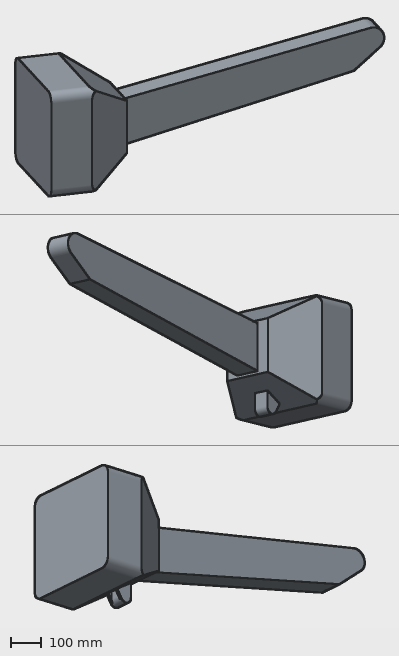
import cadquery as cq
import math

head_width = 380.0
head_height = 362.0
corner_radius = 32.0
block_depth = 139.0
head_depth = 290.0
neck_width = 182.0
neck_height = 179.0

total_length = 1180.0
blade_width = 91.0
blade_root_top = 80.0
blade_root_bottom = -79.0
top_slope = math.radians(10)
bottom_slope = math.radians(11.9)
tip_radius = 40.0
heel_y = 1076.0

hook_width = 55.0
hook_core_width = 39.0
hook_rear_y = 225.0
hook_radius = 21.0
hook_bottom = -204.0
hook_front_slope = math.radians(59)
hook_root_z = -94.0


def polar(center, radius, angle):
    """Point at an angle from +Y towards +Z, as (y, z)."""
    return (center[0] + radius * math.cos(angle), center[1] + radius * math.sin(angle))


def make_head():
    depth_direction = cq.Plane(origin=(0, 0, 0), xDir=(1, 0, 0), normal=(0, 1, 0))
    envelope = (
        cq.Workplane(depth_direction)
        .rect(head_width, head_height)
        .extrude(head_depth)
        .edges("|Y")
        .fillet(corner_radius)
    )
    block = cq.Workplane(depth_direction).rect(head_width, head_height).extrude(block_depth)
    taper = (
        cq.Workplane(depth_direction)
        .workplane(offset=block_depth)
        .rect(head_width, head_height)
        .workplane(offset=head_depth - block_depth)
        .rect(neck_width, neck_height)
        .loft(combine=True, ruled=True)
    )
    return block.union(taper).intersect(envelope)


def make_blade():
    tip_y = total_length - tip_radius
    top_above_tip = blade_root_top + (tip_y - head_depth) * math.tan(top_slope)
    tip = (tip_y, top_above_tip - tip_radius / math.cos(top_slope))
    heel = (heel_y, blade_root_bottom + (heel_y - head_depth) * math.tan(bottom_slope))

    heel_direction = math.atan2(heel[1] - tip[1], heel[0] - tip[0])
    heel_distance = math.hypot(heel[0] - tip[0], heel[1] - tip[1])
    lower_angle = heel_direction + math.acos(tip_radius / heel_distance)
    upper_angle = math.pi / 2 + top_slope
    return (
        cq.Workplane("YZ")
        .moveTo(head_depth, blade_root_bottom)
        .lineTo(*heel)
        .lineTo(*polar(tip, tip_radius, lower_angle))
        .threePointArc(polar(tip, tip_radius, 0), polar(tip, tip_radius, upper_angle))
        .lineTo(head_depth, blade_root_top)
        .close()
        .extrude(blade_width / 2, both=True)
    )


def make_hook():
    center = (hook_rear_y - hook_radius, hook_bottom + hook_radius)
    front_angle = -math.pi / 2 - hook_front_slope
    front_end = polar(center, hook_radius, front_angle)
    front_root_y = front_end[0] - (hook_root_z - front_end[1]) / math.tan(hook_front_slope)
    profile = (
        cq.Workplane("YZ")
        .moveTo(hook_rear_y, hook_root_z)
        .lineTo(hook_rear_y, center[1])
        .threePointArc((center[0], hook_bottom), front_end)
        .lineTo(front_root_y, hook_root_z)
        .close()
        .extrude(hook_width / 2, both=True)
    )

    core_front_y = center[0] - hook_radius
    gap = (
        cq.Workplane("YZ")
        .moveTo(*front_end)
        .threePointArc(
            polar(center, hook_radius, (front_angle - math.pi) / 2),
            (core_front_y, center[1]),
        )
        .lineTo(core_front_y, hook_root_z)
        .lineTo(front_root_y, hook_root_z)
        .close()
        .extrude(hook_core_width / 2, both=True)
    )
    return profile.cut(gap)


result = make_head().union(make_blade()).union(make_hook())